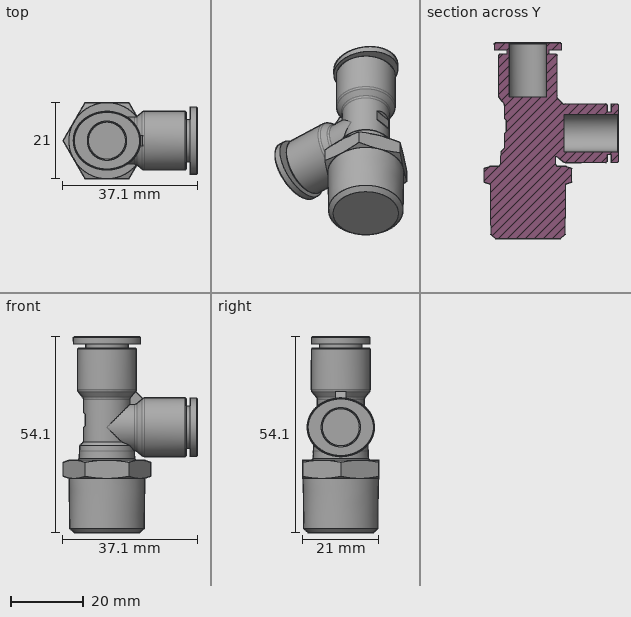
import cadquery as cq
import math

port_reach = 25.0
overall_height = 54.1
node_z = overall_height - port_reach

thread_top_radius = 10.48
thread_tip_radius = 10.3
thread_chamfer_height = 1.2
thread_chamfer_width = 1.3

hex_across_flats = 21.0
hex_bottom_z = 15.0
hex_top_z = 20.0
hex_corner_drop = 0.59
hex_corner_radius = hex_across_flats / math.sqrt(3)

flare_radius = 8.1
flare_top_z = 20.45
collar_base_radius = 7.7
seat_z = 22.55
seat_radius = 7.6
shoulder_z = 24.05
shoulder_radius = 7.5
shoulder_top_z = 25.1

column_radius = 6.5
sleeve_radius = 8.15
cone_start = 8.0
cone_end = 10.0
cone_blend_radius = 1.0
blend_search = 0.1
sleeve_end = 21.9
sleeve_chamfer = 0.35
neck_radius = 5.9
flange_start = 22.95
flange_long_diameter = 18.6
flange_short_diameter = 16.2
flange_chamfer = 0.3

bore_radius = 5.1
bore_mouth_chamfer = 0.33
bore_bottom = cone_end

web_thickness = 2.9
web_near = 7.8
web_far = 10.0

flat_x = -6.0
flat_center_z = 31.1
flat_length = 3.2


def turn(profile):
    """Revolve a (radius, height) outline about the Z axis."""
    return cq.Workplane("XZ").polyline(profile).close().revolve(360, (0, 0), (0, 1))


def make_stud():
    """Tapered stud and stepped collar, up to the node."""
    profile = [
        (0, 0),
        (thread_tip_radius - thread_chamfer_width, 0),
        (thread_tip_radius, thread_chamfer_height),
        (thread_top_radius, hex_bottom_z),
        (flare_radius, hex_bottom_z),
        (flare_radius, hex_top_z),
        (collar_base_radius, flare_top_z),
        (seat_radius, seat_z),
        (shoulder_radius, shoulder_z),
        (column_radius, shoulder_top_z),
        (column_radius, node_z),
        (0, node_z),
    ]
    return turn(profile)


def make_hexagon():
    """Hexagon with corners on the X axis, both faces turned down at the corners."""
    prism = (
        cq.Workplane("XY")
        .workplane(offset=hex_bottom_z)
        .polygon(6, 2 * hex_corner_radius)
        .extrude(hex_top_z - hex_bottom_z)
    )
    flat_radius = hex_across_flats / 2
    envelope = [
        (0, hex_bottom_z),
        (flat_radius, hex_bottom_z),
        (hex_corner_radius, hex_bottom_z + hex_corner_drop),
        (hex_corner_radius, hex_top_z - hex_corner_drop),
        (flat_radius, hex_top_z),
        (0, hex_top_z),
    ]
    turned = turn(envelope)
    return prism.intersect(turned)


def make_sleeve():
    """Column, cone, sleeve and neck of one port, along +Z from the origin."""
    profile = [
        (0, 0),
        (column_radius, 0),
        (column_radius, cone_start),
        (sleeve_radius, cone_end),
        (sleeve_radius, sleeve_end - sleeve_chamfer),
        (sleeve_radius - sleeve_chamfer, sleeve_end),
        (neck_radius, sleeve_end),
        (neck_radius, flange_start),
        (0, flange_start),
    ]
    sleeve = turn(profile)
    for height in (cone_start, cone_end):
        circle_center = cq.selectors.BoxSelector(
            (-blend_search, -blend_search, height - blend_search),
            (blend_search, blend_search, height + blend_search),
        )
        sleeve = sleeve.edges("%CIRCLE").edges(circle_center).fillet(cone_blend_radius)
    return sleeve


def make_flange():
    """Elliptical release flange, long axis along X."""
    return (
        cq.Workplane("XY")
        .workplane(offset=flange_start)
        .ellipse(flange_long_diameter / 2, flange_short_diameter / 2)
        .extrude(port_reach - flange_start)
        .faces(">Z")
        .edges()
        .chamfer(flange_chamfer)
    )


def make_bore():
    """Blind tube bore with a chamfered mouth."""
    profile = [
        (0, bore_bottom),
        (bore_radius, bore_bottom),
        (bore_radius, port_reach - bore_mouth_chamfer),
        (bore_radius + bore_mouth_chamfer, port_reach),
        (0, port_reach),
    ]
    return turn(profile)


def place_up(shape):
    """Put a port shape on the upright port."""
    return shape.translate((0, 0, node_z))


def place_sideways(shape):
    """Put a port shape on the +X port, with its long axis along Y."""
    turned = shape.rotate((0, 0, 0), (0, 0, 1), 90)
    return turned.rotate((0, 0, 0), (0, 1, 0), 90).translate((0, 0, node_z))


def make_web():
    """Web between the ports, its outer edge at 45 degrees from one cone to the other."""
    return (
        cq.Workplane("XZ", origin=(0, 0, node_z))
        .polyline([(0, 0), (web_far, 0), (web_far, web_near), (web_near, web_far), (0, web_far)])
        .close()
        .extrude(web_thickness / 2, both=True)
    )


def make_flat_cut():
    """Tool for the shallow flat on the -X side of the column."""
    depth = column_radius + flat_x
    half_floor = flat_length / 2
    overshoot = 2 * depth
    return (
        cq.Workplane("XZ", origin=(0, 0, flat_center_z))
        .polyline([
            (flat_x, -half_floor),
            (flat_x - overshoot, -half_floor - overshoot),
            (flat_x - overshoot, half_floor + overshoot),
            (flat_x, half_floor),
        ])
        .close()
        .extrude(column_radius, both=True)
    )


result = make_stud().union(make_hexagon())
for place in (place_up, place_sideways):
    result = result.union(place(make_sleeve())).union(place(make_flange()))
result = result.union(make_web())
for place in (place_up, place_sideways):
    result = result.cut(place(make_bore()))
result = result.cut(make_flat_cut())